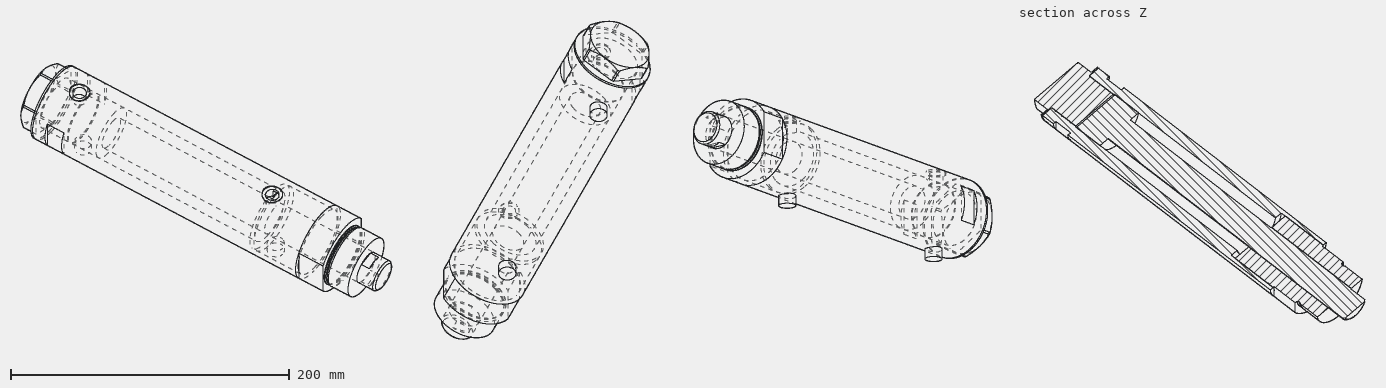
import cadquery as cq


TOTAL_LENGTH = 296.2
BARREL_START = 14.5
BARREL_END = 240.0
GLAND_SHOULDER_END = 260.7
GLAND_NOSE_END = 281.0

BODY_RADIUS = 29.48
BORE_RADIUS = 20.0
GLAND_SEAT_RADIUS = 26.0
GLAND_SEAT_START = 198.5
WRENCH_POCKET_START = 25.2
WRENCH_POCKET_LENGTH = 14.2
WRENCH_POCKET_ACROSS_FLATS = 53.0

REAR_PORT_X = 35.5
FRONT_PORT_X = 201.0
PORT_DIAMETER = 9.8
PORT_SEAT_DIAMETER = 14.8
PORT_SEAT_HEIGHT = 28.0
STUD_OFFSET = 3.0
STUD_DIAMETER = 12.5
STUD_BOTTOM = -36.6

HEX_LENGTH = 13.0
HEX_ACROSS_FLATS = 46.0
HEX_CORNER_DIAMETER = 52.0
HEX_FACE_DIAMETER = 45.5
HEX_CHAMFER_LENGTH = 2.5
CAP_SPIGOT_END = 38.2

GLAND_ACROSS_FLATS = 50.5
GLAND_NOSE_RADIUS = 23.7
GLAND_SPIGOT_START = 202.0
RELIEF_LAND = 0.5
RELIEF_DEPTH = 1.0
RELIEF_FLOOR_LENGTH = 1.0
RELIEF_RAMP_LENGTH = 1.5

ROD_RADIUS = 12.0
ROD_CHAMFER = 1.5
ROD_ACROSS_FLATS = 21.0
ROD_FLAT_LENGTH = 6.8
PISTON_START = 39.0
PISTON_LENGTH = 23.7


def revolve_about_x(points, plane="XZ"):
    """Turn a closed (x, radius) outline a full revolution about the X axis."""
    return cq.Workplane(plane).polyline(points).close().revolve(360, (0, 0), (1, 0))


def x_cylinder(start, end, radius):
    """Solid cylinder on the X axis."""
    return revolve_about_x([(start, 0), (end, 0), (end, radius), (start, radius)])


def opposed_flats(start, length, across, axis):
    """Two blocks outside a pair of parallel flats that face along the Y or Z axis."""
    outer = 2 * BODY_RADIUS
    depth = outer - across / 2
    offset = across / 2 + depth / 2
    blocks = cq.Workplane("XY")
    for side in (-1, 1):
        if axis == "Y":
            size = (length, depth, 2 * outer)
            centre = (start + length / 2, side * offset, 0)
        else:
            size = (length, 2 * outer, depth)
            centre = (start + length / 2, 0, side * offset)
        blocks = blocks.add(cq.Workplane("XY").box(*size).translate(centre))
    return blocks.combine()


def make_port(x):
    """Radial oil port from the bore to a shallow flat seat in the barrel top."""
    port = cq.Workplane("XY").circle(PORT_DIAMETER / 2).extrude(BODY_RADIUS)
    seat = cq.Workplane("XY").workplane(offset=PORT_SEAT_HEIGHT).circle(PORT_SEAT_DIAMETER / 2)
    return port.union(seat.extrude(BODY_RADIUS - PORT_SEAT_HEIGHT)).translate((x, 0, 0))


def make_stud(x):
    """Round mounting stud pointing down, rooted in the barrel wall."""
    root = -(BORE_RADIUS + BODY_RADIUS) / 2
    stud = cq.Workplane("XY").workplane(offset=STUD_BOTTOM).circle(STUD_DIAMETER / 2)
    return stud.extrude(root - STUD_BOTTOM).translate((x, 0, 0))


def make_barrel():
    """Bored tube with two ports, two welded studs, a gland seat and a pair of wrench pockets."""
    barrel = x_cylinder(BARREL_START, BARREL_END, BODY_RADIUS)
    for port_x in (REAR_PORT_X, FRONT_PORT_X):
        barrel = barrel.union(make_stud(port_x + STUD_OFFSET))
        barrel = barrel.cut(make_port(port_x))
    barrel = barrel.cut(x_cylinder(BARREL_START, BARREL_END, BORE_RADIUS))
    barrel = barrel.cut(x_cylinder(GLAND_SEAT_START, BARREL_END, GLAND_SEAT_RADIUS))
    return barrel.cut(
        opposed_flats(WRENCH_POCKET_START, WRENCH_POCKET_LENGTH, WRENCH_POCKET_ACROSS_FLATS, "Y")
    )


def make_cap():
    """Hexagon head with rounded corners, a flange flush with the barrel, and a spigot in the bore."""
    hexagon = cq.Workplane("YZ").polygon(6, HEX_ACROSS_FLATS, circumscribed=True).extrude(HEX_LENGTH)
    corner_limit = revolve_about_x([
        (0, 0),
        (HEX_LENGTH, 0),
        (HEX_LENGTH, HEX_CORNER_DIAMETER / 2),
        (HEX_CHAMFER_LENGTH, HEX_CORNER_DIAMETER / 2),
        (0, HEX_FACE_DIAMETER / 2),
    ])
    flange_and_spigot = revolve_about_x(
        [
            (HEX_LENGTH, 0),
            (CAP_SPIGOT_END, 0),
            (CAP_SPIGOT_END, -BORE_RADIUS),
            (BARREL_START, -BORE_RADIUS),
            (BARREL_START, -BODY_RADIUS),
            (HEX_LENGTH, -BODY_RADIUS),
        ],
        plane="XY",
    )
    return hexagon.intersect(corner_limit).union(flange_and_spigot)


def make_gland():
    """Shoulder with wrench flats, a mounting nose with a relief groove, and a spigot in the barrel."""
    floor_start = GLAND_SHOULDER_END + 2 * RELIEF_LAND
    floor_end = floor_start + RELIEF_FLOOR_LENGTH
    floor_radius = GLAND_NOSE_RADIUS - RELIEF_DEPTH
    gland = revolve_about_x([
        (GLAND_SPIGOT_START, ROD_RADIUS),
        (GLAND_SPIGOT_START, GLAND_SEAT_RADIUS),
        (BARREL_END, GLAND_SEAT_RADIUS),
        (BARREL_END, BODY_RADIUS),
        (GLAND_SHOULDER_END, BODY_RADIUS),
        (GLAND_SHOULDER_END, GLAND_NOSE_RADIUS),
        (GLAND_SHOULDER_END + RELIEF_LAND, GLAND_NOSE_RADIUS),
        (floor_start, floor_radius),
        (floor_end, floor_radius),
        (floor_end + RELIEF_RAMP_LENGTH, GLAND_NOSE_RADIUS),
        (GLAND_NOSE_END, GLAND_NOSE_RADIUS),
        (GLAND_NOSE_END, ROD_RADIUS),
    ])
    shoulder_length = GLAND_SHOULDER_END - BARREL_END
    return gland.cut(opposed_flats(BARREL_END, shoulder_length, GLAND_ACROSS_FLATS, "Y"))


def make_piston_rod():
    """Piston filling the bore and a rod with two wrench flats and a chamfered end."""
    piston_end = PISTON_START + PISTON_LENGTH
    rod = revolve_about_x([
        (PISTON_START, 0),
        (PISTON_START, BORE_RADIUS),
        (piston_end, BORE_RADIUS),
        (piston_end, ROD_RADIUS),
        (TOTAL_LENGTH - ROD_CHAMFER, ROD_RADIUS),
        (TOTAL_LENGTH, ROD_RADIUS - ROD_CHAMFER),
        (TOTAL_LENGTH, 0),
    ])
    return rod.cut(opposed_flats(GLAND_NOSE_END, ROD_FLAT_LENGTH, ROD_ACROSS_FLATS, "Z"))


cap = make_cap()
barrel = make_barrel()
gland = make_gland()
piston_rod = make_piston_rod()

bodies = [cap, barrel, gland, piston_rod]
result = cq.Compound.makeCompound([body.solids().val() for body in bodies])